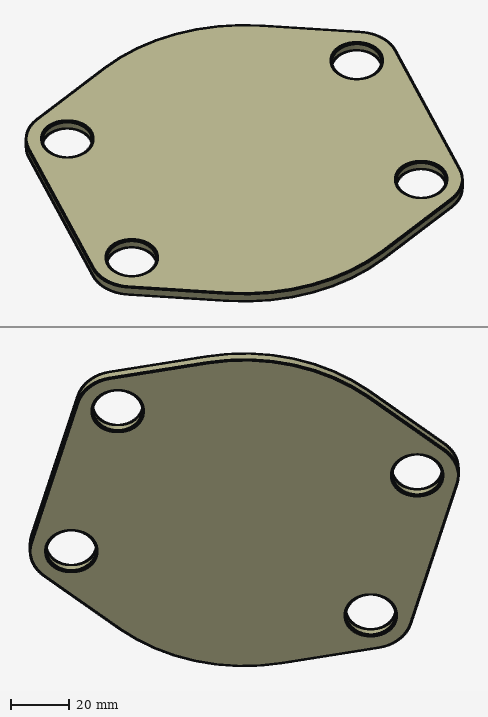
import cadquery as cq
import math

length = 135.0
width = 131.0
thickness = 4.0
hole_spacing_x = 61.8
hole_spacing_y = 106.4
hole_diameter = 17.0
rim_chamfer = 0.3
hole_chamfer = 0.5

corner_x = hole_spacing_x / 2
corner_y = hole_spacing_y / 2
half_length = length / 2
side_radius = width / 2
corner_radius = half_length - corner_y

corner_distance = math.hypot(corner_x, corner_y)
corner_angle = math.atan2(corner_y, corner_x)
flank_angle = corner_angle - math.acos((side_radius - corner_radius) / corner_distance)
corner_mid_angle = (flank_angle + math.pi / 2) / 2


def corner_point(angle):
    """Point on the upper right corner arc."""
    return (
        corner_x + corner_radius * math.cos(angle),
        corner_y + corner_radius * math.sin(angle),
    )


def mirror_x(point):
    return (-point[0], point[1])


def mirror_y(point):
    return (point[0], -point[1])


def rotate_half_turn(point):
    return (-point[0], -point[1])


def make_plate():
    """Plate with two flat ends, four rounded corners and two bowed sides."""
    end = (corner_x, half_length)
    middle = corner_point(corner_mid_angle)
    flank = corner_point(flank_angle)
    side = (side_radius * math.cos(flank_angle), side_radius * math.sin(flank_angle))
    outline = (
        cq.Workplane("XY")
        .moveTo(*mirror_x(end))
        .lineTo(*end)
        .threePointArc(middle, flank)
        .lineTo(*side)
        .threePointArc((side_radius, 0), mirror_y(side))
        .lineTo(*mirror_y(flank))
        .threePointArc(mirror_y(middle), mirror_y(end))
        .lineTo(*rotate_half_turn(end))
        .threePointArc(rotate_half_turn(middle), rotate_half_turn(flank))
        .lineTo(*rotate_half_turn(side))
        .threePointArc((-side_radius, 0), mirror_x(side))
        .lineTo(*mirror_x(flank))
        .threePointArc(mirror_x(middle), mirror_x(end))
        .close()
    )
    return outline.extrude(thickness)


def drill_holes(plate):
    """Four through holes, one at the centre of each corner arc."""
    return (
        plate.faces(">Z")
        .workplane(origin=(0, 0, thickness))
        .rect(hole_spacing_x, hole_spacing_y, forConstruction=True)
        .vertices()
        .hole(hole_diameter)
    )


rimmed_plate = make_plate().faces("|Z").edges().chamfer(rim_chamfer)
drilled = drill_holes(rimmed_plate)
smallest_circles = cq.selectors.RadiusNthSelector(0)
result = drilled.faces("|Z").edges(smallest_circles).chamfer(hole_chamfer)